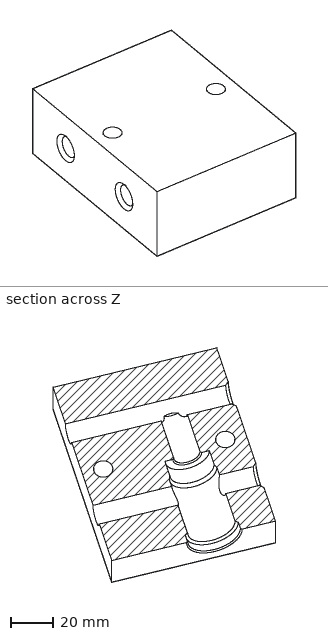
import cadquery as cq
import math

LENGTH = 101.6
WIDTH = 81.0
HEIGHT = 38.1
MID_HEIGHT = HEIGHT / 2

MOUNT_DIAMETER = 8.9
MOUNT_EDGE_DISTANCE = 10.4

PORT_DIAMETER = 10.7
PORT_MOUTH_DIAMETER = 14.3
PORT_MOUTH_DEPTH = 1.8
PORT_SPACING = 47.7
FIRST_PORT_X = (LENGTH - PORT_SPACING) / 2
SECOND_PORT_X = FIRST_PORT_X + PORT_SPACING

CAVITY_Y = 30.3
CAVITY_MOUTH_RADIUS = 13.7
CAVITY_THREAD_RADIUS = 13.0
CAVITY_BORE_RADIUS = 11.7
CAVITY_SEAT_RADIUS = 10.9
CAVITY_NOSE_MOUTH_RADIUS = 7.1
CAVITY_NOSE_RADIUS = 6.4
THREAD_END = 4.3
BORE_START = 5.2
SEAT_TAPER_START = 36.6
SEAT_TAPER_LENGTH = 2.0
CAVITY_FLOOR = 46.7
DRILL_POINT_ANGLE = 118.0


def mounting_holes():
    spacing = WIDTH - 2 * MOUNT_EDGE_DISTANCE
    return (
        cq.Workplane("XY")
        .center(LENGTH / 2, WIDTH / 2)
        .rarray(1, spacing, 1, 2)
        .circle(MOUNT_DIAMETER / 2)
        .extrude(HEIGHT)
    )


def port(x):
    """Through hole along Y, opening out in a cone at the -Y face."""
    radius = PORT_DIAMETER / 2
    profile = [
        (0, 0),
        (PORT_MOUTH_DIAMETER / 2, 0),
        (radius, PORT_MOUTH_DEPTH),
        (radius, WIDTH),
        (0, WIDTH),
    ]
    hole = cq.Workplane("XY").polyline(profile).close().revolve(360, (0, 0), (0, 1))
    return hole.translate((x, 0, MID_HEIGHT))


def cavity():
    """Stepped bore along X; its drill point opens into the second port."""
    mouth_chamfer = CAVITY_MOUTH_RADIUS - CAVITY_THREAD_RADIUS
    nose_chamfer = CAVITY_NOSE_MOUTH_RADIUS - CAVITY_NOSE_RADIUS
    point_length = CAVITY_NOSE_RADIUS / math.tan(math.radians(DRILL_POINT_ANGLE / 2))
    profile = [
        (0, 0),
        (0, CAVITY_MOUTH_RADIUS),
        (mouth_chamfer, CAVITY_THREAD_RADIUS),
        (THREAD_END, CAVITY_THREAD_RADIUS),
        (BORE_START, CAVITY_BORE_RADIUS),
        (SEAT_TAPER_START, CAVITY_BORE_RADIUS),
        (SEAT_TAPER_START + SEAT_TAPER_LENGTH, CAVITY_SEAT_RADIUS),
        (CAVITY_FLOOR, CAVITY_SEAT_RADIUS),
        (CAVITY_FLOOR, CAVITY_NOSE_MOUTH_RADIUS),
        (CAVITY_FLOOR + nose_chamfer, CAVITY_NOSE_RADIUS),
        (SECOND_PORT_X, CAVITY_NOSE_RADIUS),
        (SECOND_PORT_X + point_length, 0),
    ]
    bore = cq.Workplane("XY").polyline(profile).close().revolve(360, (0, 0), (1, 0))
    return bore.translate((0, CAVITY_Y, MID_HEIGHT))


block = cq.Workplane("XY").box(LENGTH, WIDTH, HEIGHT, centered=False)
block = block.cut(mounting_holes())
for port_x in (FIRST_PORT_X, SECOND_PORT_X):
    block = block.cut(port(port_x))
result = block.cut(cavity())